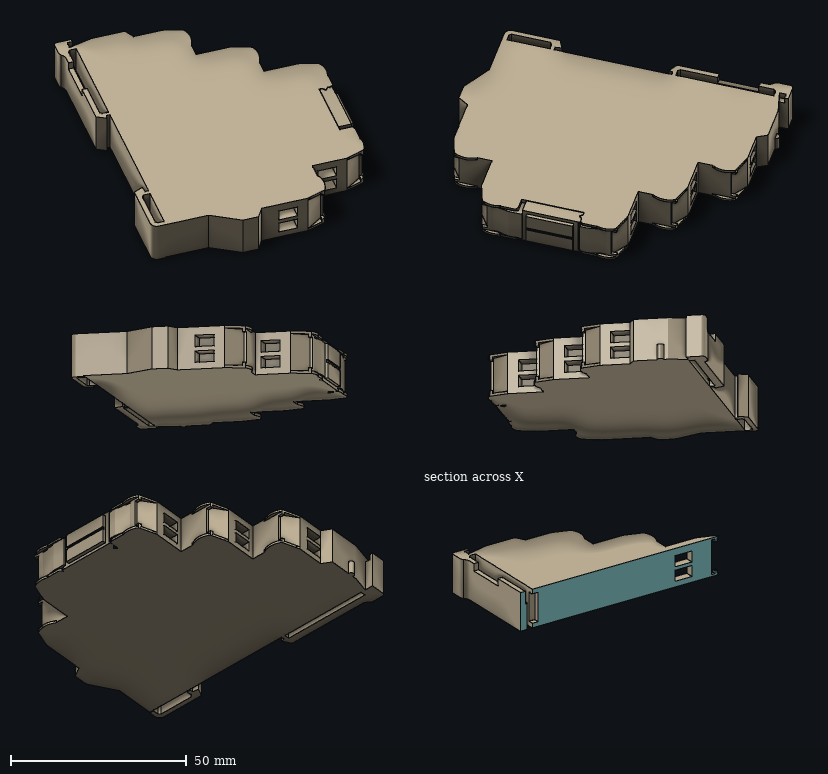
import cadquery as cq

BODY_T = 12.25
TOP_Y = 70.41
CENTER_X = 52.1
RAIL_Y = 5.41

TIER_RUN = 13.0
TIER_RISE = 16.0
TIER_COUNT = 3
TIER_X = 4.4
FLANK_Y = 31.35
FLANK_RUN = 1.9
FLANK_RISE = 5.65
BUMP_RISE = 0.95
BUMP_PEAK_RUN = 5.2
BUMP_END_RUN = 7.2
BUMP_END_RISE = 0.65
LEVEL_RUN = 8.8
PLATE_TOP_Y = 69.70
PLATE_TOP_HALF = 14.3

PLATE_T = 0.8
TIP_PLATE_T = 1.66
RECESS_RUN = 3.3
RECESS_RISE = 4.8
CLEAR = 2.0

WINDOW_L = 5.6
WINDOW_H = 3.3
WINDOW_DROP = 3.1
WINDOW_DEPTH = 5.0
WINDOW_Z = (1.95, 6.5)

LEFT_X = 1.41
SHOULDER_Y = 20.95
SHOULDER_TOP_Y = 22.6
TAPER_Y = 10.9
NECK_X = 2.75
RIGHT_X = 84.9
NOSE_X = 90.0
NOSE_TOP_Y = 33.5
NOSE_Y = 31.5
NOSE_LOW_Y = 26.8
NOSE_END_Y = 18.25

FOOT_Y = 1.35
SLOT_Y = 2.92
LEFT_SLOT = (4.35, 33.35)
RIGHT_SLOT = (70.7, 83.4)
LEFT_FOOT_X = 34.6
RIGHT_FOOT_X = 69.4
LEFT_CLAW_X = 35.8
LEFT_TOE_X = 34.2
RIGHT_CLAW_X = 67.4
RIGHT_TOE_X = 68.75
CLAW_Y = 4.15
CLAW_ROOT_Y = 4.4
FOOT_CORNER_R = 2.0
FOOT_DROP = 0.25
SLOT_CORNER = 0.6

LATCH_R = 1.0
HEEL_START = (4.3, 0)
HEEL_ROUND_MID = (5.05, 0.13)
HEEL_TURN = (5.66, 0.45)
HEEL_HOLLOW_MID = (6.4, 1.1)
HEEL_END_X = 7.3
LEDGE_Y = 3.8
LEDGE_DEPTH = 4.0
POCKET_X = 1.1
POCKET_END_X = 3.1
POCKET_DEPTH = 2.0
NOTCH = (9.53, 21.66)
NOTCH_DEPTH = 2.3
STEM_X = (31.45, 33.35)
STEM_DEPTH = 2.0
STEM_WALL = 1.57

PIN_X = 1.3
PIN_Y = 13.1
PIN_R = 1.0
PIN_H = 4.3

COVER_X = (42.8, 59.9)
COVER_POCKET_END = 61.3
COVER_Y = (65.4, 69.35)
COVER_SINK = 0.2
COVER_GAP_DEPTH = 1.35
POCKET_R = 1.1
CROWN_FOOT_X = 35.5
CROWN_X = 40.4
CROWN_Y = 69.9
LENS_X = (44.7, 58.6)
LENS_BASE_Y = 70.0
LENS_Z = (1.05, 10.95)
LENS_SPLIT = 0.8
TOOTH_Y = (66.3, 67.9)
TOOTH_OUT = 0.9


def box(x, y, z):
    """Box spanning the given (low, high) pairs."""
    size = [high - low for low, high in (x, y, z)]
    return cq.Workplane("XY").box(*size, centered=False).translate((x[0], y[0], z[0]))


def prism(points, z):
    return cq.Workplane("XY", origin=(0, 0, z[0])).polyline(points).close().extrude(z[1] - z[0])


def mirrored(solid):
    return solid.mirror("YZ", (CENTER_X, 0, 0))


def tier_origin(index):
    """Point where the outer wall of a left-hand tier starts to lean inwards."""
    return TIER_X + index * TIER_RUN, FLANK_Y + index * TIER_RISE


def tier_plate(index):
    """Slab under one left-hand tier, in to the mirror axis."""
    x, y = tier_origin(index)
    level = y + FLANK_RISE
    return (
        cq.Workplane("XY")
        .moveTo(x, SHOULDER_TOP_Y)
        .lineTo(x, y)
        .lineTo(x + FLANK_RUN, level)
        .threePointArc((x + BUMP_PEAK_RUN, level + BUMP_RISE), (x + BUMP_END_RUN, level + BUMP_END_RISE))
        .lineTo(x + LEVEL_RUN, level)
        .lineTo(CENTER_X, level)
        .lineTo(CENTER_X, SHOULDER_TOP_Y)
        .close()
        .extrude(BODY_T)
    )


def tier_recess(index):
    """Hollow between the side plates of a left-hand tier, including its wire openings."""
    x, y = tier_origin(index)
    level = y + FLANK_RISE
    outer = x - CLEAR
    bend = y + RECESS_RISE
    between_plates = (PLATE_T, BODY_T - PLATE_T)
    between_tips = (TIP_PLATE_T, BODY_T - TIP_PLATE_T)
    wedge = [(x, y), (x + RECESS_RUN, bend), (outer, bend), (outer, y)]
    cutter = prism(wedge, between_plates)
    cutter = cutter.union(box((outer, x + RECESS_RUN), (bend, level + CLEAR), between_tips))
    cutter = cutter.union(box((outer, x + TIER_RUN), (level, level + CLEAR), between_plates))
    window_top = y - WINDOW_DROP
    for z in WINDOW_Z:
        opening = box((outer, x + WINDOW_DEPTH), (window_top - WINDOW_L, window_top), (z, z + WINDOW_H))
        cutter = cutter.union(opening)
    return cutter


def make_tiers():
    left = range(TIER_COUNT)
    right = range(1, TIER_COUNT)
    body = box((CENTER_X - PLATE_TOP_HALF, CENTER_X + PLATE_TOP_HALF), (RAIL_Y, PLATE_TOP_Y), (0, BODY_T))
    for index in left:
        body = body.union(tier_plate(index))
    for index in right:
        body = body.union(mirrored(tier_plate(index)))
    for index in left:
        body = body.cut(tier_recess(index))
    for index in right:
        body = body.cut(mirrored(tier_recess(index)))
    return body


def make_side_walls():
    """Widened lower housing: shoulder and taper on the left, nose on the right."""
    left = [
        (CENTER_X, RAIL_Y), (NECK_X, RAIL_Y), (LEFT_X, TAPER_Y), (LEFT_X, SHOULDER_Y),
        (TIER_X, SHOULDER_TOP_Y), (CENTER_X, SHOULDER_TOP_Y),
    ]
    tier_wall = 2 * CENTER_X - TIER_X - TIER_RUN
    right = [
        (CENTER_X, RAIL_Y), (RIGHT_X, RAIL_Y), (RIGHT_X, NOSE_END_Y), (NOSE_X, NOSE_LOW_Y),
        (NOSE_X, NOSE_Y), (tier_wall, NOSE_TOP_Y), (CENTER_X, NOSE_TOP_Y),
    ]
    return prism(left, (0, BODY_T)).union(prism(right, (0, BODY_T)))


def slot(span, z):
    """Open slot above a foot, with its two lower corners cut off."""
    low, high = span
    return prism(
        [
            (low, RAIL_Y), (low, SLOT_Y + SLOT_CORNER), (low + SLOT_CORNER, SLOT_Y),
            (high - SLOT_CORNER, SLOT_Y), (high, SLOT_Y + SLOT_CORNER), (high, RAIL_Y),
        ],
        z,
    )


def make_left_foot():
    """Sliding latch with claw, slot, lip notch and end pocket."""
    foot = (
        cq.Workplane("XY")
        .moveTo(0, RAIL_Y)
        .lineTo(0, 0)
        .lineTo(*HEEL_START)
        .threePointArc(HEEL_ROUND_MID, HEEL_TURN)
        .threePointArc(HEEL_HOLLOW_MID, (HEEL_END_X, FOOT_Y))
        .lineTo(LEFT_TOE_X, FOOT_Y)
        .lineTo(LEFT_CLAW_X, CLAW_Y)
        .lineTo(LEFT_FOOT_X, CLAW_ROOT_Y)
        .lineTo(LEFT_FOOT_X, RAIL_Y)
        .close()
        .extrude(BODY_T)
    )
    foot = foot.edges(cq.selectors.NearestToPointSelector((0, 0, BODY_T / 2))).fillet(LATCH_R)
    foot = foot.cut(slot(LEFT_SLOT, (0, BODY_T)))
    ledge = box(LEFT_SLOT, (SLOT_Y, LEDGE_Y), (0, BODY_T - LEDGE_DEPTH))
    foot = foot.union(ledge)
    foot = foot.cut(box(NOTCH, (0, LEDGE_Y), (BODY_T - NOTCH_DEPTH, BODY_T)))
    pocket = [
        (POCKET_X, RAIL_Y), (POCKET_X, LEDGE_Y), (POCKET_END_X, LEDGE_Y), (NECK_X, RAIL_Y),
    ]
    return foot.cut(prism(pocket, (BODY_T - POCKET_DEPTH, BODY_T)))


def make_stem_cavity():
    return box(STEM_X, (RAIL_Y, RAIL_Y + STEM_DEPTH), (STEM_WALL, BODY_T - STEM_WALL))


def make_right_foot():
    """Fixed foot with claw and rounded outer corner."""
    z = (-FOOT_DROP, BODY_T)
    outline = [
        (RIGHT_FOOT_X, RAIL_Y), (RIGHT_FOOT_X, CLAW_ROOT_Y), (RIGHT_CLAW_X, CLAW_Y), (RIGHT_TOE_X, FOOT_Y),
        (RIGHT_X, FOOT_Y), (RIGHT_X, RAIL_Y),
    ]
    foot = prism(outline, z)
    corner = cq.selectors.NearestToPointSelector((RIGHT_X, FOOT_Y, BODY_T / 2))
    return foot.edges(corner).fillet(FOOT_CORNER_R).cut(slot(RIGHT_SLOT, z))


def make_pin():
    return cq.Workplane("XY").center(PIN_X, PIN_Y).circle(PIN_R).extrude(PIN_H)


def cut_cover_pocket(body):
    """Shallow bed of the cover, a deeper gap beside it and free space above it."""
    pocket_x = (COVER_X[0], COVER_POCKET_END)
    above = TOP_Y + CLEAR
    body = body.cut(box(pocket_x, (COVER_Y[1], above), (0, BODY_T)))
    body = body.cut(box(pocket_x, (COVER_Y[0], above), (BODY_T - COVER_SINK, BODY_T)))
    gap_x = (COVER_X[1], COVER_POCKET_END)
    body = body.cut(box(gap_x, (COVER_Y[0], above), (BODY_T - COVER_GAP_DEPTH, BODY_T)))
    for x, inward in ((COVER_X[0], -1), (COVER_POCKET_END, 1)):
        round_x = x + inward * POCKET_R
        round_y = PLATE_TOP_Y - POCKET_R
        corner = box((min(x, round_x), max(x, round_x)), (round_y, PLATE_TOP_Y), (0, BODY_T))
        corner = corner.cut(cq.Workplane("XY").center(round_x, round_y).circle(POCKET_R).extrude(BODY_T))
        body = body.cut(corner)
    return body


def make_crown():
    """Ramps rising to both ends of the cover, set in from the side plates."""
    floor = COVER_Y[0]
    level = tier_origin(TIER_COUNT - 1)[1] + FLANK_RISE

    def ramp(inner_x):
        points = [
            (CROWN_FOOT_X, floor), (CROWN_FOOT_X, level), (CROWN_X, CROWN_Y),
            (inner_x, CROWN_Y), (inner_x, floor),
        ]
        return prism(points, LENS_Z)

    return ramp(COVER_X[0]).union(mirrored(ramp(2 * CENTER_X - COVER_X[1])))


def make_lens():
    """Indicator lens: one base carrying two bars with a gap between them."""
    lens = box(LENS_X, (COVER_Y[0], TOP_Y), LENS_Z)
    middle = sum(LENS_Z) / 2
    gap_z = (middle - LENS_SPLIT / 2, middle + LENS_SPLIT / 2)
    return lens.cut(box(LENS_X, (LENS_BASE_Y, TOP_Y), gap_z))


def make_tooth():
    """Snap tooth at the left end of the cover, standing out of the underside."""
    x = COVER_X[0]
    low, high = TOOTH_Y
    points = [(x, low), (x + TOOTH_OUT, (low + high) / 2), (x, high)]
    return prism(points, (-FOOT_DROP, BODY_T))


housing = make_tiers().union(make_side_walls())
housing = cut_cover_pocket(housing)
housing = housing.cut(make_stem_cavity())
for feature in (
    make_left_foot(), make_right_foot(), make_pin(), make_crown(), make_lens(), make_tooth()
):
    housing = housing.union(feature)

result = housing.clean()